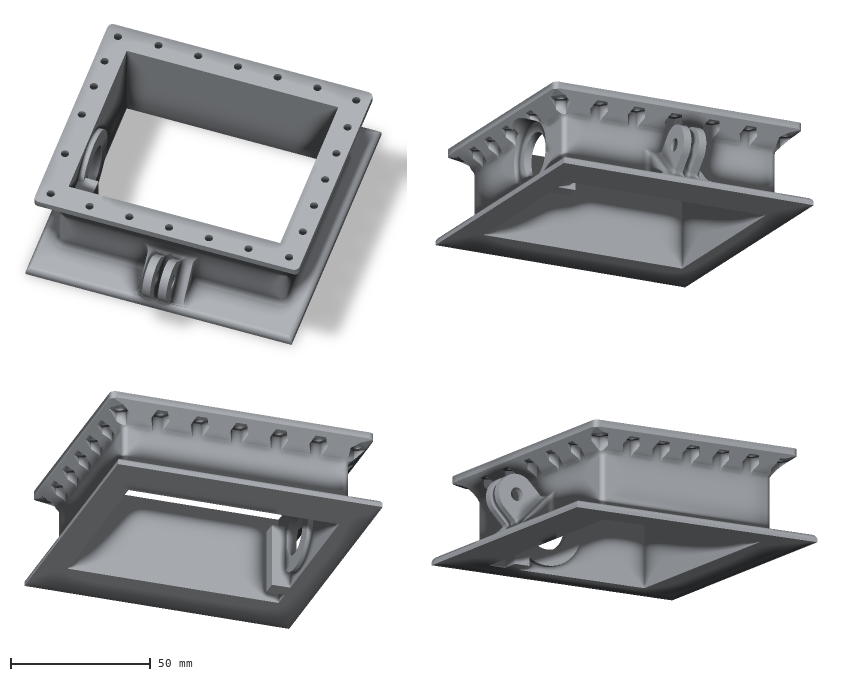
import cadquery as cq
import math

base_side = 100.5
total_depth = 105.5
total_height = 33.5
edge_radius = 2.0
opening_x, opening_y = 79.9, 65.0
body_x = 86.0
wall = (body_x - opening_x) / 2
body_y = opening_y + 2 * wall
base_thick = wall
selection_slack = 0.1
diagonal_part = math.sqrt(0.5)

flange_thick = 2.5
taper_corner_radius = 0.2
flange_x = 100.0
flange_overhang = (flange_x - body_x) / 2
flange_y = body_y + 2 * flange_overhang
flange_bottom = total_height - flange_thick
taper_bottom = flange_bottom - flange_overhang

screw_dia = 3.0
nut_flats = 6.0
nut_corners = nut_flats / math.cos(math.pi / 6)
nut_roof = total_height - 4.0
nut_runout = 1.1
nut_floor = taper_bottom - nut_runout
corner_inset = 5.0
corner_x = flange_x / 2 - corner_inset
corner_y = flange_y / 2 - corner_inset
row_x = body_x / 2 + nut_flats / 2
row_y = body_y / 2 + nut_flats / 2
holes_per_row = 5
front_pitch = corner_x / 3
right_row_length = 50.0
right_pitch = right_row_length / (holes_per_row - 1)
left_pitch = 12.0

port_y, port_z = -9.5, 17.0
port_bore = 17.0
port_recess_dia = 25.0
port_recess_depth = 2.0
port_boss_dia = 28.9
port_boss_thick = 2.0
tab_reach = 7.0
tab_width = 6.0
tab_center_y = -22.9
tab_top = 24.2

wedge_width = 17.0
wedge_top = 16.0
toe_limit = 48.6
lug_thick = wall
lug_gap = wall
lug_radius = 7.5
lug_hole_dia = 5.0
lug_y = base_side / 2 - total_depth + lug_radius
lug_z = 14.9
lug_fillet = lug_gap / 2


def block(size_x, size_y, bottom, top):
    """Box centred on the Z axis between two levels."""
    return cq.Workplane("XY").workplane(offset=bottom).rect(size_x, size_y).extrude(top - bottom)


def rounded_section(size_x, size_y, level, radius):
    """Rectangular section with rounded corners at the given level."""
    section = cq.Sketch().rect(size_x, size_y).vertices().fillet(radius)
    return section.moved(cq.Location(cq.Vector(0, 0, level)))


def make_flange():
    """Flange plate on its taper, with the foot of the taper blended into the body."""
    column = block(flange_x, flange_y, 0, total_height).edges("|Z").fillet(edge_radius)
    plate = column.intersect(block(flange_x, flange_y, flange_bottom, total_height))
    taper = (
        cq.Workplane("XY")
        .placeSketch(
            rounded_section(body_x, body_y, taper_bottom, edge_radius),
            rounded_section(flange_x, flange_y, flange_bottom, taper_corner_radius),
        )
        .loft()
    )
    neck = block(body_x, body_y, base_thick, taper_bottom).edges("|Z").fillet(edge_radius)
    blend_zone = cq.selectors.BoxSelector(
        (-base_side, -base_side, taper_bottom - selection_slack),
        (base_side, base_side, taper_bottom + selection_slack),
    )
    return neck.union(taper).edges(blend_zone).fillet(edge_radius).intersect(column).union(plate)


def make_wedge():
    """Hinge wedge, rooted in the body wall and the base plate."""
    wall_y = -body_y / 2
    inside_y = wall_y + wall / 2
    toe_y = wall_y - (wedge_top - base_thick)
    return (
        cq.Workplane("YZ")
        .polyline([(inside_y, 0), (toe_y, 0), (toe_y, base_thick), (wall_y, wedge_top), (inside_y, wedge_top)])
        .close()
        .extrude(wedge_width / 2, both=True)
    )


def make_foot():
    """Base plate, body and wedge with every inside corner between them filleted."""
    neck_top = taper_bottom - edge_radius
    foot = block(base_side, base_side, 0, base_thick)
    foot = foot.union(block(body_x, body_y, 0, neck_top).edges("|Z").fillet(edge_radius))
    foot = foot.union(make_wedge())
    slack = selection_slack
    reach_x, reach_y = body_x / 2 + slack, base_side / 2 - slack
    foot_line = cq.selectors.BoxSelector(
        (-reach_x, -reach_y, base_thick - slack), (reach_x, reach_y, base_thick + slack)
    )
    wedge_joint = cq.selectors.BoxSelector(
        (-wedge_width, -body_y / 2 - slack, base_thick + slack),
        (wedge_width, -body_y / 2 + slack, wedge_top + slack),
    )
    return foot.edges(cq.selectors.SumSelector(foot_line, wedge_joint)).fillet(edge_radius)


def make_base_envelope():
    """Limits the foot to the rounded rim of the base plate."""
    rim = block(base_side, base_side, 0, base_thick).faces(">Z").edges().fillet(edge_radius)
    flat_side = base_side - 2 * edge_radius
    hinge_width = wedge_width + 2 * edge_radius
    hinge = cq.Workplane("XY").box(hinge_width, toe_limit, total_height, centered=(True, False, False))
    return rim.union(block(flat_side, flat_side, 0, total_height)).union(hinge.translate((0, -toe_limit, 0)))


def make_lugs():
    """Two round-ended lugs square to the slope, each filleted onto a slab sunk flush in the wedge."""
    axis_height = (lug_z - lug_y - body_y / 2 - wedge_top) * diagonal_part
    slack = selection_slack
    slab_depth = lug_fillet
    slab_width = lug_thick + 2 * (lug_fillet + slack)
    slab_length = 2 * (lug_radius + lug_fillet + slack)
    side = cq.Workplane("YZ", origin=(0, 0, axis_height))
    lug = block(lug_thick, 2 * lug_radius, -slab_depth, axis_height)
    lug = lug.union(side.circle(lug_radius).extrude(lug_thick / 2, both=True))
    lug = lug.union(block(slab_width, slab_length, -slab_depth, 0))
    reach_x, reach_y = lug_thick / 2 + slack, lug_radius + slack
    root = cq.selectors.BoxSelector((-reach_x, -reach_y, -slack), (reach_x, reach_y, slack))
    lug = lug.edges(root).fillet(lug_fillet)
    lug = lug.cut(side.circle(lug_hole_dia / 2).extrude(lug_thick, both=True))
    lug_x = (lug_gap + lug_thick) / 2
    lugs = lug.translate((-lug_x, 0, 0)).union(lug.translate((lug_x, 0, 0)))
    offset = axis_height * diagonal_part
    slope = cq.Plane(origin=(0, lug_y + offset, lug_z - offset), xDir=(1, 0, 0), normal=(0, -1, 1))
    return cq.Workplane(lugs.val().moved(slope.location))


def port_disc(diameter, start_x, length):
    """Disc on the port axis, running toward +X from start_x."""
    return cq.Workplane("YZ", origin=(start_x, port_y, port_z)).circle(diameter / 2).extrude(length)


def make_port_boss():
    """Inner boss of the port and the tab beside it."""
    wall_x = -opening_x / 2
    boss = port_disc(port_boss_dia, wall_x - wall / 2, wall / 2 + port_boss_thick)
    tab_length = tab_reach + wall / 2
    tab = cq.Workplane("XY").box(tab_length, tab_width, tab_top, centered=(False, True, False))
    return boss.union(tab.translate((wall_x - wall / 2, tab_center_y, 0)))


def cut_screws(part, centers, flats_turn):
    """Drill the flange and sink a nut pocket, turned about Z, under each hole."""
    holes = cq.Workplane("XY").workplane(offset=nut_floor).pushPoints(centers)
    holes = holes.circle(screw_dia / 2).extrude(total_height - nut_floor)
    part = part.cut(holes)
    for x, y in centers:
        nut = cq.Workplane("XY", origin=(x, y, nut_floor)).transformed(rotate=(0, 0, flats_turn))
        part = part.cut(nut.polygon(6, nut_corners).extrude(nut_roof - nut_floor))
    return part


def make_corner_relief():
    """Opens one corner nut pocket outwards; its roof rises from the pocket to the flange corner."""
    pocket_edge = (corner_x + corner_y + nut_corners / 2) * diagonal_part
    flange_corner = (flange_x + flange_y) / 2 * diagonal_part
    diagonal_plane = cq.Plane(origin=(0, 0, 0), xDir=(1, 1, 0), normal=(1, -1, 0))
    below_roof = (
        cq.Workplane(diagonal_plane)
        .moveTo(0, nut_floor)
        .lineTo(flange_corner, nut_floor)
        .lineTo(flange_corner, flange_bottom)
        .lineTo(pocket_edge, nut_roof)
        .lineTo(0, nut_roof)
        .close()
        .extrude(base_side, both=True)
    )
    inner_y = corner_y - nut_corners / 4
    size_x, size_y = flange_x / 2 - corner_x, flange_y / 2 - inner_y
    outer_corner = cq.Workplane("XY").box(size_x, size_y, total_height, centered=False)
    return outer_corner.translate((corner_x, inner_y, 0)).intersect(below_roof)


result = make_foot().intersect(make_base_envelope())
result = result.union(make_flange()).union(make_lugs())

row_steps = range(-(holes_per_row // 2), holes_per_row // 2 + 1)
front_back = [(i * front_pitch, side * row_y) for i in row_steps for side in (-1, 1)]
corners = [(sx * corner_x, sy * corner_y) for sx in (-1, 1) for sy in (-1, 1)]
right_row = [(row_x, i * right_pitch) for i in row_steps]
left_row = [(-row_x, y) for y in (-corner_y / 2, 0, corner_y - 2 * left_pitch, corner_y - left_pitch)]
result = cut_screws(result, front_back, 0)
result = cut_screws(result, corners + right_row + left_row, 90)
relief = make_corner_relief()
relief = relief.union(relief.mirror("YZ"))
result = result.cut(relief.union(relief.mirror("XZ")))

result = result.cut(block(opening_x, opening_y, 0, total_height))
result = result.union(make_port_boss())
result = result.cut(port_disc(port_bore, -base_side / 2, base_side / 2))
result = result.cut(
    port_disc(port_recess_dia, -base_side / 2, (base_side - body_x) / 2 + port_recess_depth)
)